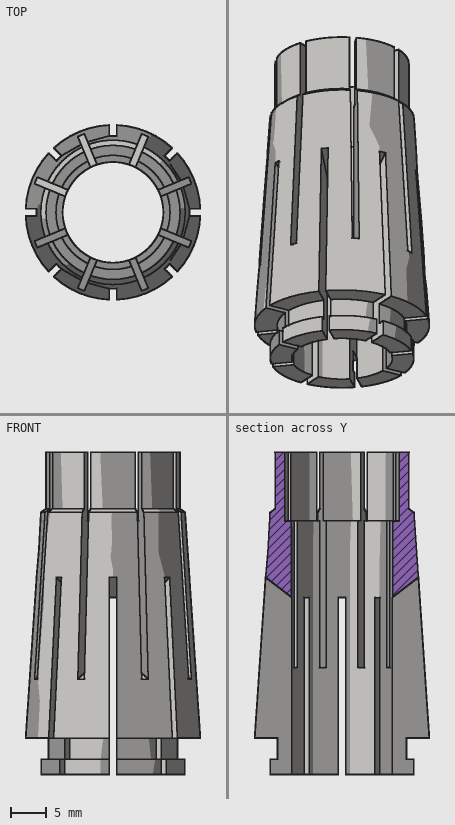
import cadquery as cq

total_height = 45.1
flange_top = 2.15
cone_bottom = 5.1
cone_top = 36.65
shoulder_top = 37.2
counterbore_floor = 35.5

cone_bottom_diameter = 24.5
bore_radius = 7.05
counterbore_radius = 8.0
groove_radius = 9.05
neck_radius = 9.4
flange_radius = 10.05
cone_top_radius = 10.1
cone_bottom_radius = cone_bottom_diameter / 2

slot_width = 1.0
slots_per_end = 8
slot_pitch = 360 / slots_per_end
lower_slot_outer_end = 27.6
lower_slot_inner_end = 24.75
upper_slot_outer_end = 13.35
upper_slot_inner_end = 14.97
overcut = 2.25


def cone_radius(height):
    """Outer radius of the tapered body at a given height."""
    fraction = (height - cone_bottom) / (cone_top - cone_bottom)
    return cone_bottom_radius + fraction * (cone_top_radius - cone_bottom_radius)


def sleeve():
    """Revolved collet body, with its counterbored through bore."""
    profile = [
        (bore_radius, 0),
        (flange_radius, 0),
        (flange_radius, flange_top),
        (groove_radius, flange_top),
        (groove_radius, cone_bottom),
        (cone_bottom_radius, cone_bottom),
        (cone_top_radius, cone_top),
        (neck_radius, shoulder_top),
        (neck_radius, total_height),
        (counterbore_radius, total_height),
        (counterbore_radius, counterbore_floor),
        (bore_radius, counterbore_floor),
    ]
    return cq.Workplane("XZ").polyline(profile).close().revolve(360, (0, 0, 0), (0, 1, 0))


def slot_cutter(inner_end, outer_end, open_end):
    """Radial slot along +X whose closed end slopes from the bore out to the cone surface."""
    outer_radius = cone_radius(outer_end)
    slope = (outer_end - inner_end) / (outer_radius - bore_radius)
    start_radius = bore_radius - overcut
    stop_radius = cone_bottom_radius + overcut
    outline = [
        (start_radius, open_end),
        (start_radius, inner_end - slope * overcut),
        (stop_radius, outer_end + slope * (stop_radius - outer_radius)),
        (stop_radius, open_end),
    ]
    return cq.Workplane("XZ").polyline(outline).close().extrude(slot_width / 2, both=True)


def cut_slots(body, cutter, first_angle):
    """Cut one full ring of slots."""
    for index in range(slots_per_end):
        angle = first_angle + index * slot_pitch
        body = body.cut(cutter.rotate((0, 0, 0), (0, 0, 1), angle))
    return body


lower_slot = slot_cutter(lower_slot_inner_end, lower_slot_outer_end, -overcut)
upper_slot = slot_cutter(upper_slot_inner_end, upper_slot_outer_end, total_height + overcut)

result = cut_slots(sleeve(), lower_slot, 0)
result = cut_slots(result, upper_slot, slot_pitch / 2)